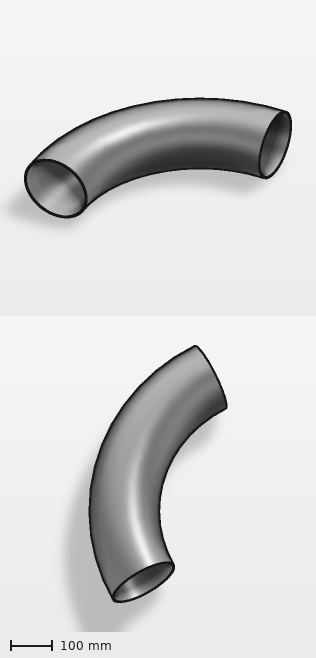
import cadquery as cq

overall_size = 474.0
outer_diameter = 168.5
wall_thickness = 4.0
bend_angle = 90

outer_radius = outer_diameter / 2
inner_radius = outer_radius - wall_thickness
bend_radius = overall_size - outer_radius


def make_elbow():
    """Sweep the pipe ring a quarter turn about a vertical axis at (bend_radius, 0)."""
    ring = cq.Workplane("XZ").circle(outer_radius).circle(inner_radius)
    return ring.revolve(bend_angle, (bend_radius, 4.7, 0), (bend_radius, 0, 0))


result = make_elbow()